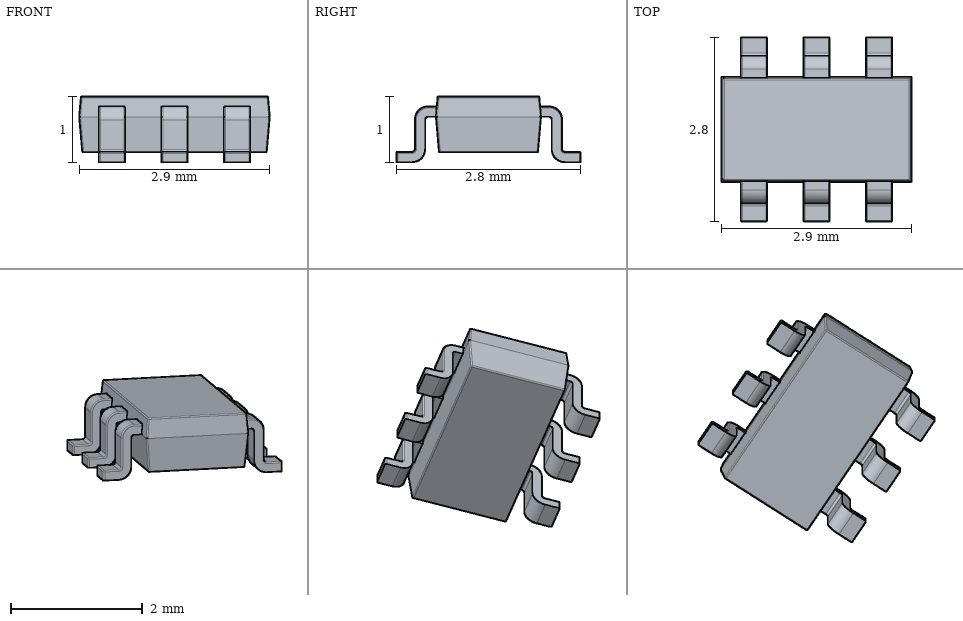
import cadquery as cq
import math

housing_length = 2.9
housing_width = 1.6
housing_top = 1.0
standoff = 0.15
draft_angle = 5.0

lead_count = 3
lead_pitch = 0.95
lead_width = 0.4
lead_thickness = 0.16
lead_top = 0.85
toe_span = 2.8
shank_span = 2.24
outer_bend = 0.2
inner_bend = outer_bend - lead_thickness

edge_radius = 0.02

parting_z = lead_top - lead_thickness


def edges_in_box(center, size):
    """Selector for the edges whose centers lie in a box of the given center and size."""
    low = [c - s / 2 for c, s in zip(center, size)]
    high = [c + s / 2 for c, s in zip(center, size)]
    return cq.selectors.BoxSelector(low, high)


def drafted_half(height):
    """Half of the housing, from the parting line up by height, or down if height is negative."""
    inset = abs(height) * math.tan(math.radians(draft_angle))
    return (
        cq.Workplane("XY", origin=(0, 0, parting_z))
        .rect(housing_length, housing_width)
        .workplane(offset=height)
        .rect(housing_length - 2 * inset, housing_width - 2 * inset)
        .loft(ruled=True)
    )


def make_housing(leads):
    """Two drafted halves, rounded except at the sharp parting line, with a passage for each lead."""
    upper_half = drafted_half(housing_top - parting_z)
    lower_half = drafted_half(standoff - parting_z)
    body = upper_half.union(lower_half)

    parting_edges = edges_in_box(
        (0, 0, parting_z), (2 * housing_length, 2 * housing_width, edge_radius)
    )
    body = body.edges(cq.selectors.InverseSelector(parting_edges)).fillet(edge_radius)

    for lead in leads:
        body = body.cut(lead)
    return body


def make_lead(center_x):
    """One strip through the whole housing, bent down to a gull-wing foot on each side."""
    toe_y = toe_span / 2
    outer_y = shank_span / 2
    inner_y = outer_y - lead_thickness

    half_outline = [
        (inner_y, parting_z),
        (inner_y, 0),
        (toe_y, 0),
        (toe_y, lead_thickness),
        (outer_y, lead_thickness),
        (outer_y, lead_top),
    ]
    mirrored_half = [(-y, z) for y, z in reversed(half_outline)]
    lead = (
        cq.Workplane("YZ", origin=(center_x - lead_width / 2, 0, 0))
        .polyline(half_outline + mirrored_half)
        .close()
        .extrude(lead_width)
    )

    bends = [
        (outer_y, lead_top, outer_bend),
        (inner_y, parting_z, inner_bend),
        (outer_y, lead_thickness, inner_bend),
        (inner_y, 0, outer_bend),
    ]
    corner_box = (lead_width, edge_radius, edge_radius)
    for side in (-1, 1):
        for y, z, radius in bends:
            lead = lead.edges(edges_in_box((center_x, side * y, z), corner_box)).fillet(radius)

    rim = lead.faces(">Z").edges("|Y")
    toe_edges = lead.faces("<Y or >Y").edges("|Z or (|X and (not <Z))")
    return rim.add(toe_edges).fillet(edge_radius)


first_x = -lead_pitch * (lead_count - 1) / 2
leads = [make_lead(first_x + i * lead_pitch) for i in range(lead_count)]
housing = make_housing(leads)

result = cq.Compound.makeCompound([housing.solids().val(), *[lead.solids().val() for lead in leads]])